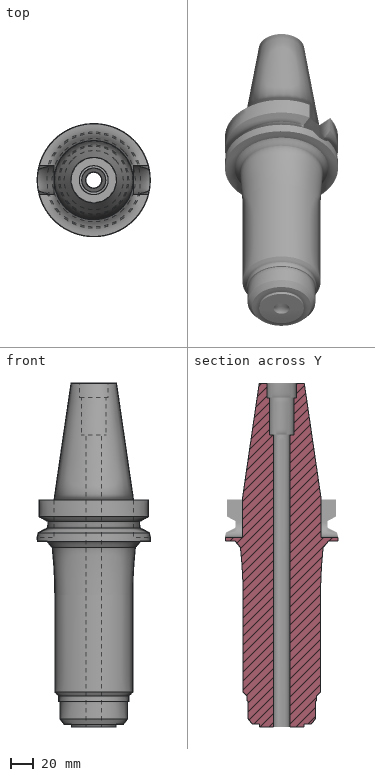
import cadquery as cq

total_height = 304.2
flange_diameter = 100.0
flange_radius = flange_diameter / 2

gauge_radius = 35.0
gauge_height = 202.3
taper_on_radius = 7 / 48
taper_tip_radius = gauge_radius - (total_height - gauge_height) * taper_on_radius

flange_top = 201.0
upper_rim_bottom = 186.2
groove_top = 182.0
groove_bottom = 176.0
lower_rim_top = 172.0
flange_bottom = 164.3
groove_radius = 42.5

neck_cone_radius = 41.5
neck_radius = 36.8
neck_top = 158.8
neck_bottom = 116.5

body_diameter = 69.0
body_radius = body_diameter / 2
body_bottom = 31.0
collar_radius = 31.0
collar_top = 27.7
collar_bottom = 22.8
nose_diameter = 60.0
nose_radius = nose_diameter / 2
nose_chamfer_top = 7.3
nose_bottom = 2.5
nose_face_radius = 26.2
end_ring_radius = 19.8

slot_width = 25.5
slot_floor_x = 35.0
slot_arc_center_height = 180.7

through_radius = 7.0
mouth_radius = 12.8
mouth_depth = 12.8
thread_radius = 10.5
thread_depth = 45.5


def neck_arc_midpoint():
    """Middle of the neck arc, which runs tangent into the cylindrical body."""
    rise = neck_top - neck_bottom
    flare = neck_radius - body_radius
    arc_radius = (rise**2 + flare**2) / (2 * flare)
    half_rise = rise / 2
    half_flare = arc_radius - (arc_radius**2 - half_rise**2) ** 0.5
    return body_radius + half_flare, neck_bottom + half_rise


def turned_body():
    """Outer shape revolved about Z."""
    profile = (
        cq.Workplane("XZ")
        .lineTo(end_ring_radius, 0)
        .lineTo(end_ring_radius, nose_bottom)
        .lineTo(nose_face_radius, nose_bottom)
        .lineTo(nose_radius, nose_chamfer_top)
        .lineTo(nose_radius, collar_bottom)
        .lineTo(collar_radius, collar_bottom)
        .lineTo(collar_radius, collar_top)
        .lineTo(body_radius, body_bottom)
        .lineTo(body_radius, neck_bottom)
        .threePointArc(neck_arc_midpoint(), (neck_radius, neck_top))
        .lineTo(neck_cone_radius, flange_bottom)
        .lineTo(flange_radius, flange_bottom)
        .lineTo(flange_radius, lower_rim_top)
        .lineTo(groove_radius, groove_bottom)
        .lineTo(groove_radius, groove_top)
        .lineTo(flange_radius, upper_rim_bottom)
        .lineTo(flange_radius, flange_top)
        .lineTo(gauge_radius, flange_top)
        .lineTo(gauge_radius, gauge_height)
        .lineTo(taper_tip_radius, total_height)
        .lineTo(0, total_height)
        .close()
    )
    return profile.revolve(360, (0, 0, 0), (0, 1, 0))


def drive_slot(side):
    """Round-bottomed slot cutter, open at the flange top; side is +1 or -1."""
    half_width = slot_width / 2
    return (
        cq.Workplane("YZ", origin=(side * slot_floor_x, 0, 0))
        .moveTo(-half_width, flange_top)
        .lineTo(-half_width, slot_arc_center_height)
        .threePointArc((0, slot_arc_center_height - half_width), (half_width, slot_arc_center_height))
        .lineTo(half_width, flange_top)
        .close()
        .extrude(side * flange_radius)
    )


def bore_from_top(radius, depth):
    """Cylinder on the Z axis reaching down from the taper tip."""
    return cq.Workplane("XY", origin=(0, 0, total_height - depth)).circle(radius).extrude(depth)


result = turned_body()
for side in (1, -1):
    result = result.cut(drive_slot(side))
for radius, depth in (
    (through_radius, total_height),
    (thread_radius, thread_depth),
    (mouth_radius, mouth_depth),
):
    result = result.cut(bore_from_top(radius, depth))